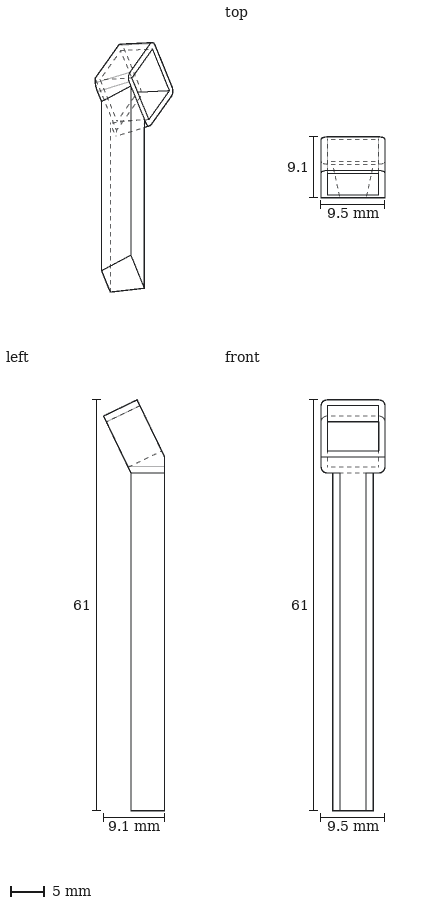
import cadquery as cq
import math

total_height = 60.95
total_depth = 9.1
head_width = 9.5

stem_depth = 5.0
stem_front_width = 3.9
stem_back_width = 6.05

bend_height = 52.5
wall = 1.0
corner_radius = 1.0

ring_rise = total_height - bend_height
ring_shift = total_depth - stem_depth
lean = math.atan2(ring_shift, ring_rise)
ring_length = math.hypot(ring_shift, ring_rise)
ring_depth = stem_depth / math.cos(lean)

bend_drop = stem_depth * math.tan(lean)
head_base = bend_height - bend_drop


def make_stem():
    return (
        cq.Workplane("XY")
        .moveTo(-stem_front_width / 2, 0)
        .lineTo(stem_front_width / 2, 0)
        .lineTo(stem_back_width / 2, stem_depth)
        .lineTo(-stem_back_width / 2, stem_depth)
        .close()
        .extrude(head_base)
    )


def make_neck():
    """Upright wedge between the stem and the leaning ring."""
    return (
        cq.Workplane("YZ")
        .moveTo(0, head_base)
        .lineTo(stem_depth, head_base)
        .lineTo(0, bend_height)
        .close()
        .extrude(head_width / 2, both=True)
    )


def make_ring():
    """Ring with rounded top corners and a rectangular window, leaned about the bend line."""
    ring = (
        cq.Workplane("XY")
        .box(head_width, ring_depth, ring_length, centered=(True, False, False))
        .edges("|Y and >Z")
        .fillet(corner_radius)
    )
    window = (
        cq.Workplane("XY", origin=(0, 0, wall))
        .box(head_width - 2 * wall, ring_depth, ring_length - 2 * wall, centered=(True, False, False))
    )
    return (
        ring.cut(window)
        .rotate((0, 0, 0), (1, 0, 0), -math.degrees(lean))
        .translate((0, 0, bend_height))
    )


def make_head():
    """Neck and ring, with the lower side corners rounded straight through from front to back."""
    rounded_block = (
        cq.Workplane("XY", origin=(0, 0, head_base))
        .box(head_width, total_depth, total_height - head_base, centered=(True, False, False))
        .edges("|Y and <Z")
        .fillet(corner_radius)
    )
    return make_neck().union(make_ring()).intersect(rounded_block)


result = make_stem().union(make_head())